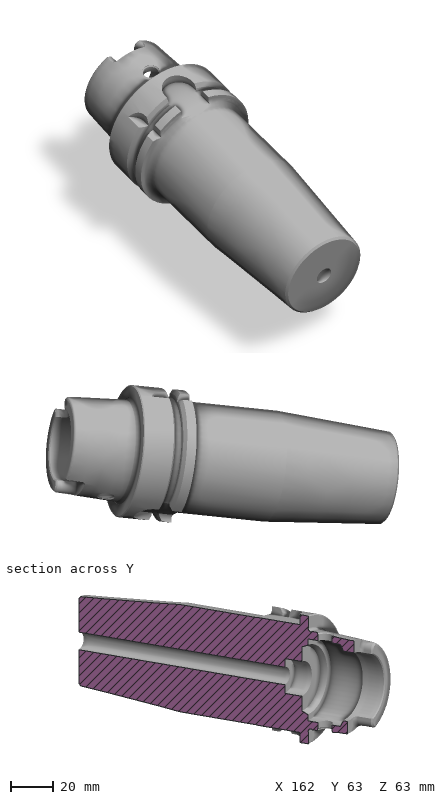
import cadquery as cq
import math

length = 162.0

taper_tip_radius = 22.8
taper_base_radius = 24.3
taper_end_x = 30.0
tip_round = 1.3
neck_radius = 24.0
neck_start_x = 30.6
relief_start_x = 30.8
relief_rim_radius = 25.5
flange_face_x = 31.9

flange_radius = 31.51
flange_edge_chamfer = 0.5
groove_radius = 27.5
groove_kink_radius = 29.3
groove_centre_x = 50.0
groove_floor_width = 3.4
groove_kink_width = 4.0
groove_top_width = 6.6
collar_end_x = 58.0

body_radius = 26.49
body_fillet = 3.4
nose_start_x = 104.5
nose_angle = 4.5
nose_chamfer = 1.0

mouth_radius = 17.0
mouth_chamfer = 0.5
mouth_land = 12.5
clamp_shoulder_angle = 60.0
clamp_groove_radius = 20.0
clamp_groove_end_x = 32.4
hollow_floor_radius = 15.7
hollow_depth = 35.6
counterbore_diameter = 16.8
counterbore_depth = 45.4
through_diameter = 8.5

slot_half_width = 6.2
slot_lip_start = 17.5
slot_lip_radius = 3.4
slot_floor_fillet = 1.6
slot_mouth_chamfer = 0.8
upper_slot_depth = 6.2
lower_slot_depth = 9.9

cross_hole_x = 22.8
cross_hole_diameter = 7.5
cross_hole_rim_diameter = 8.5
cross_hole_rim_depth = 0.5

pocket_radius = 8.02
pocket_centre_x = 45.2
pocket_floor = 26.5
notch_corner = 20.0


def turned_body():
    groove_left = [width / -2 + groove_centre_x
                   for width in (groove_top_width, groove_kink_width, groove_floor_width)]
    groove_right = [2 * groove_centre_x - x for x in groove_left]
    groove_radii = [flange_radius, groove_kink_radius, groove_radius]
    relief_arc = relief_rim_radius - neck_radius
    relief_diagonal = relief_arc * math.sqrt(0.5)
    fillet_diagonal = body_fillet * (1 - math.sqrt(0.5))
    nose_radius = body_radius - (length - nose_start_x) * math.tan(math.radians(nose_angle))

    profile = (
        cq.Workplane("XY")
        .lineTo(0, taper_tip_radius)
        .lineTo(taper_end_x, taper_base_radius)
        .lineTo(neck_start_x, neck_radius)
        .lineTo(relief_start_x, neck_radius)
        .threePointArc(
            (relief_start_x + relief_diagonal, relief_rim_radius - relief_diagonal),
            (relief_start_x + relief_arc, relief_rim_radius),
        )
        .lineTo(flange_face_x, relief_rim_radius)
        .lineTo(flange_face_x, flange_radius - flange_edge_chamfer)
        .lineTo(flange_face_x + flange_edge_chamfer, flange_radius)
    )
    for x, radius in zip(groove_left, groove_radii):
        profile = profile.lineTo(x, radius)
    for x, radius in zip(reversed(groove_right), reversed(groove_radii)):
        profile = profile.lineTo(x, radius)
    profile = (
        profile
        .lineTo(collar_end_x, flange_radius)
        .lineTo(collar_end_x, body_radius + body_fillet)
        .threePointArc(
            (collar_end_x + fillet_diagonal, body_radius + fillet_diagonal),
            (collar_end_x + body_fillet, body_radius),
        )
        .lineTo(nose_start_x, body_radius)
        .lineTo(length, nose_radius)
        .lineTo(length, 0)
        .close()
    )
    body = profile.revolve(360, (0, 0, 0), (1, 0, 0))
    body = body.faces(">X").edges().chamfer(nose_chamfer)
    return body.faces("<X").edges().fillet(tip_round)


def bores():
    shoulder_height = clamp_groove_radius - mouth_radius
    shoulder_length = shoulder_height / math.tan(math.radians(clamp_shoulder_angle))
    hollow = (
        cq.Workplane("XY")
        .lineTo(0, mouth_radius + mouth_chamfer)
        .lineTo(mouth_chamfer, mouth_radius)
        .lineTo(mouth_land, mouth_radius)
        .lineTo(mouth_land + shoulder_length, clamp_groove_radius)
        .lineTo(clamp_groove_end_x, clamp_groove_radius)
        .lineTo(clamp_groove_end_x, mouth_radius)
        .lineTo(hollow_depth, hollow_floor_radius)
        .lineTo(hollow_depth, 0)
        .close()
        .revolve(360, (0, 0, 0), (1, 0, 0))
    )
    counterbore = cq.Workplane("YZ").circle(counterbore_diameter / 2).extrude(counterbore_depth)
    through = cq.Workplane("YZ").circle(through_diameter / 2).extrude(length)
    return hollow.union(counterbore).union(through)


def slot_outline(x):
    """Slot cross-section at X = x, its walls rounding outwards into the taper surface."""
    lip_diagonal = slot_lip_radius * math.sqrt(0.5)
    outer_half_width = slot_half_width + slot_lip_radius
    lip_end = slot_lip_start + slot_lip_radius
    arc_z = slot_lip_start + lip_diagonal
    arc_y = outer_half_width - lip_diagonal
    return (
        cq.Workplane("YZ", origin=(x, 0, 0))
        .moveTo(-slot_half_width, 0)
        .lineTo(-slot_half_width, slot_lip_start)
        .threePointArc((-arc_y, arc_z), (-outer_half_width, lip_end))
        .lineTo(-outer_half_width, flange_radius)
        .lineTo(outer_half_width, flange_radius)
        .lineTo(outer_half_width, lip_end)
        .threePointArc((arc_y, arc_z), (slot_half_width, slot_lip_start))
        .lineTo(slot_half_width, 0)
        .close()
    )


def drive_slot(depth):
    """Slot above the axis with a chamfered mouth and rounded floor corners."""
    slot = slot_outline(0).extrude(depth).faces(">X").edges().fillet(slot_floor_fillet)
    mouth = slot_outline(slot_mouth_chamfer).extrude(-slot_mouth_chamfer, taper=-45)
    return slot.union(mouth)


def cross_hole():
    """Upper half of the radial hole, widened to a rim where it meets the taper."""
    taper_slope = (taper_base_radius - taper_tip_radius) / taper_end_x
    surface_z = taper_tip_radius + taper_slope * cross_hole_x
    rim_radius = cross_hole_rim_diameter / 2
    hole_radius = cross_hole_diameter / 2
    rim_bottom = surface_z - cross_hole_rim_depth
    chamfer_bottom = rim_bottom - (rim_radius - hole_radius)
    return (
        cq.Workplane("XZ")
        .lineTo(hole_radius, 0)
        .lineTo(hole_radius, chamfer_bottom)
        .lineTo(rim_radius, rim_bottom)
        .lineTo(rim_radius, flange_radius)
        .lineTo(0, flange_radius)
        .close()
        .revolve(360, (0, 0, 0), (0, 1, 0))
        .translate((cross_hole_x, 0, 0))
    )


def flange_pocket(centre_y, floor_z):
    """Flat-floored pocket with a round left end, open upwards and towards the nose."""
    run = collar_end_x + body_fillet - pocket_centre_x
    round_end = cq.Workplane("XY").circle(pocket_radius).extrude(flange_radius)
    straight = (
        cq.Workplane("XY")
        .rect(run, 2 * pocket_radius)
        .extrude(flange_radius)
        .translate((run / 2, 0, 0))
    )
    return round_end.union(straight).translate((pocket_centre_x, centre_y, floor_z))


def turned_over(shape):
    return shape.rotate((0, 0, 0), (1, 0, 0), 180)


top_pocket = flange_pocket(0, pocket_floor)
result = (
    turned_body()
    .cut(bores())
    .cut(drive_slot(upper_slot_depth))
    .cut(turned_over(drive_slot(lower_slot_depth)))
    .cut(cross_hole())
    .cut(turned_over(cross_hole()))
    .cut(top_pocket)
    .cut(turned_over(top_pocket))
    .cut(flange_pocket(-notch_corner - pocket_radius, notch_corner))
)